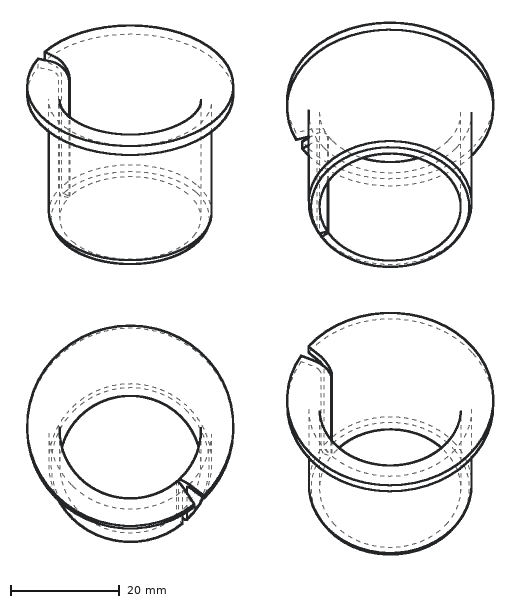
import cadquery as cq
import math

flange_radius = 19.0
height = 30.0
wall = 2.0
bore_radius = 13.0
outer_fillet = 1.5
chamfer_height = 1.2
chamfer_angle = math.radians(20)

gap_at_bore = 0.38
gap_at_flange = 2.43

body_radius = bore_radius + wall
flange_bottom = height - wall
inner_fillet = outer_fillet + wall
bend_radial = bore_radius + inner_fillet
bend_height = height - inner_fillet
chamfer_width = chamfer_height * math.tan(chamfer_angle)
gap_slope = (gap_at_flange - gap_at_bore) / (flange_radius - bore_radius)
wedge_tip_radius = bore_radius - gap_at_bore / gap_slope
diagonal = math.sqrt(0.5)


def bend_midpoint(radius):
    """Middle of a quarter arc about the shared centre of the wall bend."""
    return (bend_radial - radius * diagonal, bend_height + radius * diagonal)


def flanged_sleeve():
    """Revolve the constant-thickness wall that bends outward into the flange."""
    return (
        cq.Workplane("XZ")
        .moveTo(bore_radius, 0)
        .lineTo(body_radius - chamfer_width, 0)
        .lineTo(body_radius, chamfer_height)
        .lineTo(body_radius, bend_height)
        .threePointArc(bend_midpoint(outer_fillet), (bend_radial, flange_bottom))
        .lineTo(flange_radius, flange_bottom)
        .lineTo(flange_radius, height)
        .lineTo(bend_radial, height)
        .threePointArc(bend_midpoint(inner_fillet), (bore_radius, bend_height))
        .close()
        .revolve(360, (0, 0, 0), (0, 1, 0))
    )


def split_wedge():
    """Full-height triangular wedge, with its point inside the bore, that opens the wall on the -X side."""
    return (
        cq.Workplane("XY")
        .polyline([
            (-wedge_tip_radius, 0),
            (-flange_radius, gap_at_flange / 2),
            (-flange_radius, -gap_at_flange / 2),
        ])
        .close()
        .extrude(height)
    )


result = flanged_sleeve().rotate((0, 0, 0), (0, 0, 1), 180).cut(split_wedge())